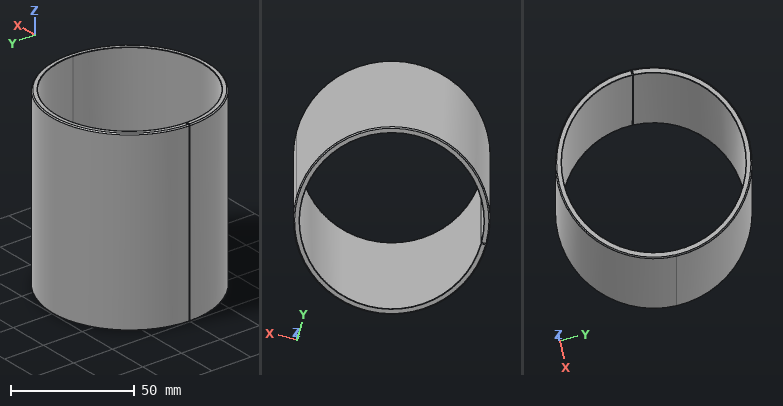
import cadquery as cq

height = 90.0
outer_diameter = 80.0
wall = 2.5
outer_chamfer = 0.5
bore_chamfer = 0.2
slit_width = 0.5

outer_radius = outer_diameter / 2
inner_radius = outer_radius - wall
half_height = height / 2


def sleeve():
    """Revolve the wall section, with both rims chamfered outside and in the bore."""
    section = [
        (inner_radius, -half_height + bore_chamfer),
        (inner_radius + bore_chamfer, -half_height),
        (outer_radius - outer_chamfer, -half_height),
        (outer_radius, -half_height + outer_chamfer),
        (outer_radius, half_height - outer_chamfer),
        (outer_radius - outer_chamfer, half_height),
        (inner_radius + bore_chamfer, half_height),
        (inner_radius, half_height - bore_chamfer),
    ]
    return cq.Workplane("XZ").polyline(section).close().revolve(360, (0, 0, 0), (0, 1, 0))


def slit_cutter():
    """Full-height block through the -X wall, with one side on the plane Y = 0."""
    block = cq.Workplane("XY").box(2 * wall, slit_width, height)
    return block.translate((-(outer_radius - wall / 2), slit_width / 2, 0))


result = sleeve().cut(slit_cutter())